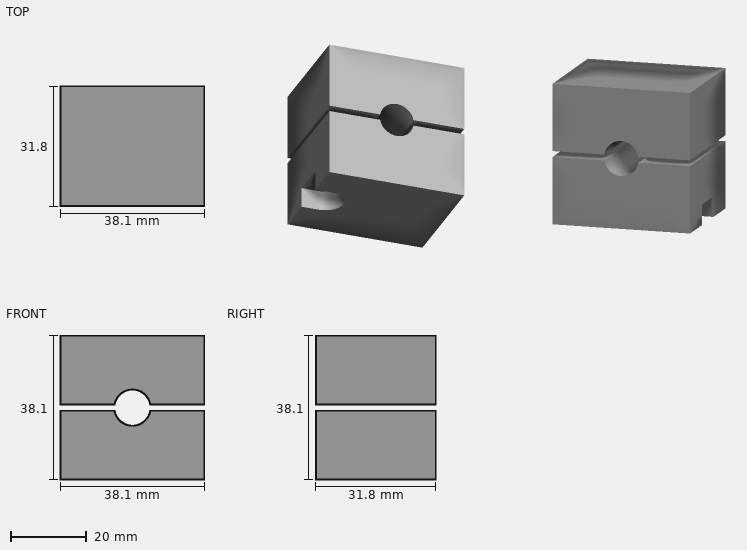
import cadquery as cq

length = 38.1
width = 31.75
height = 38.1
gap = 1.6
half_height = (height - gap) / 2

bore_diameter = 9.52

slot_width = 10.4
slot_depth = 5.6
slot_reach = 4.75


def bore():
    """Bore cylinder on the Y axis, with the parting plane through its centre."""
    return cq.Workplane("XZ").circle(bore_diameter / 2).extrude(width / 2, both=True)


def clamp_half(side):
    """Plain half block above (side = 1) or below (side = -1) the parting plane."""
    centre_z = side * (gap + half_height) / 2
    block = cq.Workplane("XY").box(length, width, half_height).translate((0, 0, centre_z))
    return block.cut(bore())


def slot():
    """Round-ended slot running in from the -X side along the underside."""
    open_x = -length / 2
    centre_x = open_x + slot_reach
    radius = slot_width / 2
    return (
        cq.Workplane("XY", origin=(0, 0, -height / 2))
        .moveTo(open_x, -radius)
        .lineTo(centre_x, -radius)
        .threePointArc((centre_x + radius, 0), (centre_x, radius))
        .lineTo(open_x, radius)
        .close()
        .extrude(slot_depth)
    )


upper_half = clamp_half(1)
lower_half = clamp_half(-1).cut(slot())

result = cq.Compound.makeCompound([upper_half.val(), lower_half.val()])